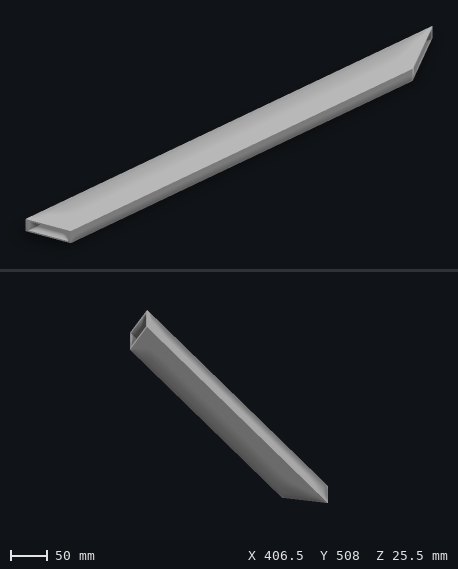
import cadquery as cq
import math

span_x = 406.5
span_y = 508.0
tube_width = 51.0
tube_height = 25.5
wall = 3.0

tube_angle = math.atan2(span_y, span_x)


def mitred_bar(inset):
    """Solid bar with its sides, top and bottom set in from the tube's outer faces."""
    near_side = inset / math.sin(tube_angle)
    far_side = (tube_width - inset) / math.sin(tube_angle)
    slope = math.tan(tube_angle)
    outline = [
        (near_side, 0),
        (far_side, 0),
        (span_x, (span_x - far_side) * slope),
        (span_x, (span_x - near_side) * slope),
    ]
    return (
        cq.Workplane("XY")
        .workplane(offset=inset)
        .polyline(outline)
        .close()
        .extrude(tube_height - 2 * inset)
    )


result = mitred_bar(0).cut(mitred_bar(wall))